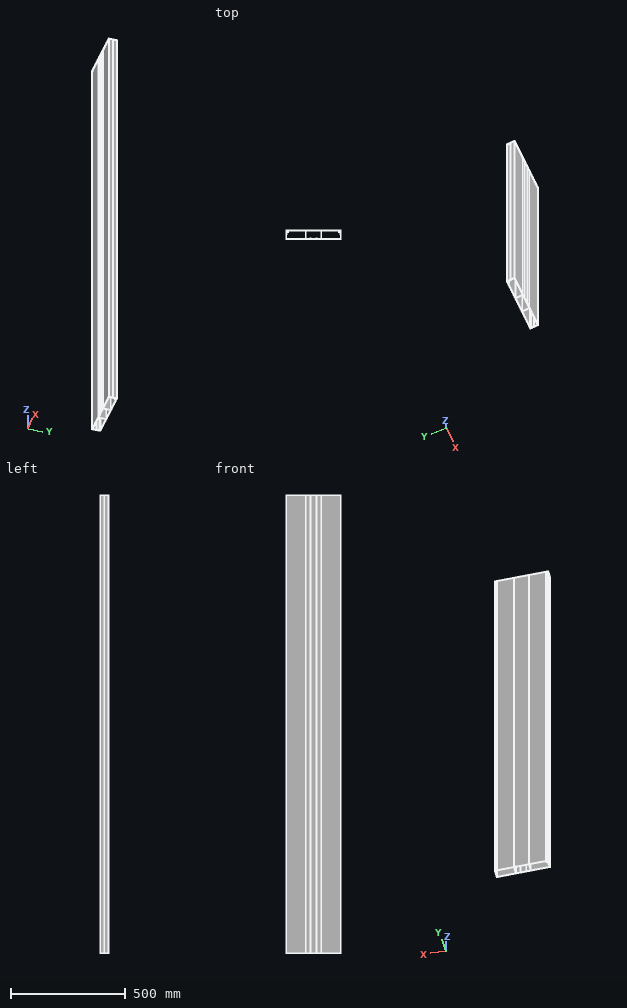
import cadquery as cq


LENGTH = 2000.0
WIDTH = 240.0
DEPTH = 37.75

CHANNEL_DEPTH = 20.0
FLOOR_THICKNESS = 1.75
WALL_THICKNESS = 1.5
DIVIDER_THICKNESS = 1.0
DIVIDER_OFFSET = 33.0
RIDGE_WIDTH = 1.0
RIDGE_HEIGHT = 1.0
RIDGE_OFFSET = 12.5

LID_THICKNESS = 1.0
SKIRT_THICKNESS = 3.0
LEG_THICKNESS = 1.0
LEG_INSET = 9.0
LEG_REACH = 8.0

HALF_WIDTH = WIDTH / 2
FLOOR_BOTTOM = -DEPTH / 2
FLOOR_TOP = FLOOR_BOTTOM + FLOOR_THICKNESS
JOINT = FLOOR_BOTTOM + CHANNEL_DEPTH
LID_TOP = DEPTH / 2
LID_UNDERSIDE = LID_TOP - LID_THICKNESS


def strip(x_start, x_end, y_start, y_end):
    """Full-length bar with a rectangular section."""
    return (
        cq.Workplane("XY")
        .center((x_start + x_end) / 2, (y_start + y_end) / 2)
        .rect(abs(x_end - x_start), y_end - y_start)
        .extrude(LENGTH)
    )


def add_strip_pair(body, x_near, x_far, y_start, y_end):
    """Add a strip on each side of the centre plane."""
    for side in (-1, 1):
        body = body.union(strip(side * x_near, side * x_far, y_start, y_end))
    return body


def make_channel():
    """Floor with side walls, two dividers up to the lid and two low ridges."""
    body = strip(-HALF_WIDTH, HALF_WIDTH, FLOOR_BOTTOM, FLOOR_TOP)
    body = add_strip_pair(body, HALF_WIDTH - WALL_THICKNESS, HALF_WIDTH, FLOOR_BOTTOM, JOINT)
    divider_far = DIVIDER_OFFSET + DIVIDER_THICKNESS
    body = add_strip_pair(body, DIVIDER_OFFSET, divider_far, FLOOR_BOTTOM, LID_UNDERSIDE)
    ridge_far = RIDGE_OFFSET + RIDGE_WIDTH
    return add_strip_pair(body, RIDGE_OFFSET, ridge_far, FLOOR_BOTTOM, FLOOR_TOP + RIDGE_HEIGHT)


def make_lid():
    """Cover plate with outer skirts and short inner legs."""
    body = strip(-HALF_WIDTH, HALF_WIDTH, LID_UNDERSIDE, LID_TOP)
    body = add_strip_pair(body, HALF_WIDTH - SKIRT_THICKNESS, HALF_WIDTH, JOINT, LID_TOP)
    leg_far = HALF_WIDTH - LEG_INSET
    return add_strip_pair(body, leg_far - LEG_THICKNESS, leg_far, LID_TOP - LEG_REACH, LID_TOP)


channel = make_channel()
lid = make_lid()

result = cq.Compound.makeCompound([*channel.solids().vals(), *lid.solids().vals()])